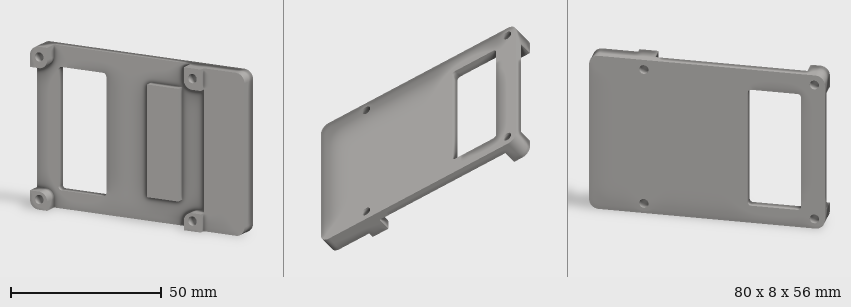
import cadquery as cq

length = 80.0
height = 56.0
total_depth = 8.0
plate_thickness = 3.0
step_thickness = 6.0
corner_radius = 3.2
back_y = total_depth / 2

boss_width = 6.5
lower_boss_height = 6.2
upper_boss_height = 7.4
boss_radius = 3.0
hole_diameter = 3.2
hole_inset = 3.5
right_hole_x = 61.4
step_x = 64.6

window_x = 8.1
window_width = 18.1
window_height = 42.4
window_z = lower_boss_height
window_radius = 1.2

pad_x = 43.2
pad_width = 11.8
pad_height = 38.7
pad_z = 9.0


def block(x, z, width, tall, thickness):
    """Block with its lower left corner at (x, z), standing forward from the back face."""
    return cq.Workplane("XY").box(width, thickness, tall, centered=False).translate(
        (x, back_y - thickness, z)
    )


def boss(x, z, tall, rounded_edge):
    """Full-depth boss with one rounded vertical corner facing the plate centre."""
    blank = block(x, z, boss_width, tall, total_depth)
    return blank.edges("|Y").edges(rounded_edge).fillet(boss_radius)


body = block(0, 0, length, height, plate_thickness)
body = body.union(block(step_x, 0, length - step_x, height, step_thickness))
body = body.union(block(pad_x, pad_z, pad_width, pad_height, step_thickness))

right_boss_x = step_x - boss_width
top_boss_z = height - upper_boss_height
body = body.union(boss(0, 0, lower_boss_height, ">X and >Z"))
body = body.union(boss(0, top_boss_z, upper_boss_height, ">X and <Z"))
body = body.union(boss(right_boss_x, 0, lower_boss_height, "<X and >Z"))
body = body.union(boss(right_boss_x, top_boss_z, upper_boss_height, "<X and <Z"))

envelope = block(0, 0, length, height, total_depth).edges("|Y").fillet(corner_radius)
body = body.intersect(envelope)

window = block(window_x, window_z, window_width, window_height, total_depth)
body = body.cut(window.edges("|Y").fillet(window_radius))

hole_centres = [
    (x, z)
    for x in (hole_inset, right_hole_x)
    for z in (hole_inset, height - hole_inset)
]
for x, z in hole_centres:
    hole = cq.Workplane("XZ", origin=(x, back_y, z)).circle(hole_diameter / 2).extrude(total_depth)
    body = body.cut(hole)

result = body.translate((-length / 2, 0, -height / 2))